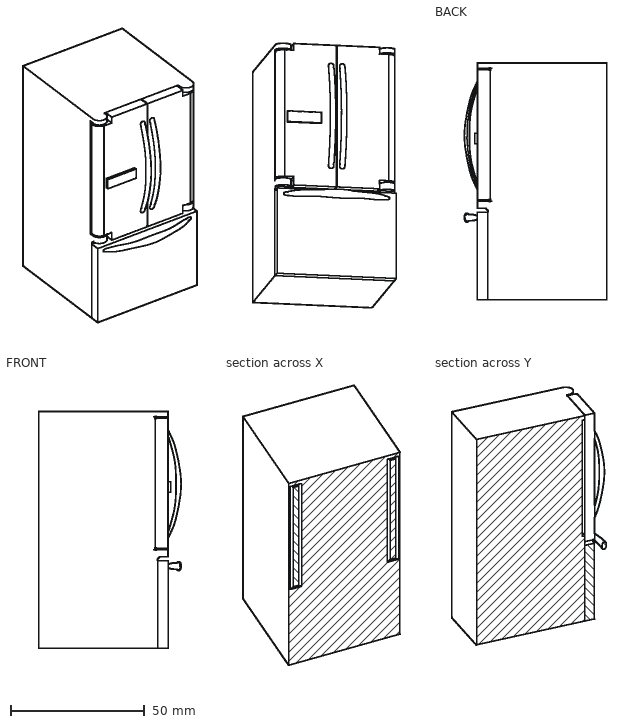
import cadquery as cq
import math


width = 45.4
height = 88.6
front_x = 48.45
panel_thickness = 4.0
panel_back_x = front_x - panel_thickness

knuckle_radius = 2.9
hinge_setback = 3.1
pin_diameter = 2.6
hinge_x = front_x - hinge_setback
hinge_y = width / 2 - knuckle_radius
top_ear_thickness = 1.95
bottom_ear_thickness = 2.7
hinge_end_gap = 0.6
relief_clearance = 0.5
relief_radius = knuckle_radius + relief_clearance
gusset_size = hinge_x - panel_back_x

door_bottom_z = 34.2
door_height = height - door_bottom_z
door_mid_z = door_bottom_z + door_height / 2
ear_inner_bottom_z = door_bottom_z + bottom_ear_thickness
ear_inner_top_z = height - top_ear_thickness
hinge_opening = ear_inner_top_z - ear_inner_bottom_z
barrel_length = hinge_opening - 2 * hinge_end_gap
door_outer_y = 16.3
door_seam_gap = 0.3
recess_depth = 1.1

drawer_height = 32.8

handle_diameter = 2.0
handle_root_thickness = 1.2
handle_projection = 4.9
handle_bow_radius = 49.6
handle_root_depth = 1.1
door_handle_y = 2.1
drawer_handle_z = 30.7
drawer_handle_crown_height = 3.4
handle_section_count = 9

display_thickness = 1.0
display_width = 12.8
display_height = 4.1
display_y = -12.3
display_z = 60.3


def block(x_min, x_max, y_min, y_max, z_min, z_max):
    """Box given by its limits along each axis."""
    size = (x_max - x_min, y_max - y_min, z_max - z_min)
    return cq.Workplane("XY").box(*size, centered=False).translate((x_min, y_min, z_min))


def hinge_cylinder(side, radius, z_min, length):
    """Vertical cylinder on the hinge axis of one side (-1 or +1)."""
    return cq.Workplane("XY", origin=(hinge_x, side * hinge_y, z_min)).circle(radius).extrude(length)


def hinge_ear(side, z_min, thickness):
    """Flat cabinet ear with a full round nose."""
    root = block(panel_back_x, hinge_x, -knuckle_radius, knuckle_radius, z_min, z_min + thickness)
    root = root.translate((0, side * hinge_y, 0))
    return root.union(hinge_cylinder(side, knuckle_radius, z_min, thickness))


def ear_gusset(side):
    """Sloped support under a lower ear."""
    return (
        cq.Workplane("XZ", origin=(panel_back_x, side * hinge_y, door_bottom_z))
        .polyline([(0, 0), (gusset_size, 0), (0, -gusset_size)])
        .close()
        .extrude(knuckle_radius, both=True)
    )


def make_cabinet():
    cabinet = block(0, panel_back_x, -width / 2, width / 2, 0, height)
    recess_back_x = panel_back_x - recess_depth
    recess = block(recess_back_x, panel_back_x, -hinge_y, hinge_y, ear_inner_bottom_z, ear_inner_top_z)
    cabinet = cabinet.cut(recess)
    for side in (-1, 1):
        cabinet = cabinet.cut(hinge_cylinder(side, relief_radius, ear_inner_bottom_z, hinge_opening))
        cabinet = cabinet.union(hinge_ear(side, door_bottom_z, bottom_ear_thickness))
        cabinet = cabinet.union(hinge_ear(side, ear_inner_top_z, top_ear_thickness))
        cabinet = cabinet.union(ear_gusset(side))
    return cabinet


def bow_handle(crown_height):
    """Bow handle in the XY plane, centred on Y = 0, with its section height growing to the crown."""
    crown_x = front_x + handle_projection - handle_diameter / 2
    root_x = front_x - handle_root_depth
    sagitta = crown_x - root_x
    half_span = math.sqrt(sagitta * (2 * handle_bow_radius - sagitta))
    root_angle = math.degrees(math.asin(half_span / handle_bow_radius))
    bow_centre_x = crown_x - handle_bow_radius

    def section(angle):
        turn = math.radians(angle)
        outward = cq.Vector(math.cos(turn), math.sin(turn), 0)
        along = cq.Vector(-math.sin(turn), math.cos(turn), 0)
        plane = cq.Plane(
            origin=cq.Vector(bow_centre_x, 0, 0) + outward * handle_bow_radius,
            xDir=outward,
            normal=along,
        )
        growth = (1 - abs(angle) / root_angle) ** 2
        thickness = handle_root_thickness + (handle_diameter - handle_root_thickness) * growth
        section_height = handle_diameter + (crown_height - handle_diameter) * growth
        return cq.Workplane(plane).ellipse(thickness / 2, section_height / 2).wires().val()

    angle_step = 2 * root_angle / (handle_section_count - 1)
    sections = [section(i * angle_step - root_angle) for i in range(handle_section_count)]
    return cq.Workplane(cq.Solid.makeLoft(sections))


def make_door(side):
    panel = block(panel_back_x, front_x, door_seam_gap / 2, door_outer_y, door_bottom_z, height)
    barrel_z = ear_inner_bottom_z + hinge_end_gap
    web = block(panel_back_x, front_x, door_outer_y, hinge_y, barrel_z, barrel_z + barrel_length)
    door = panel.union(web)
    if side < 0:
        door = door.mirror("XZ")
    door = door.union(hinge_cylinder(side, knuckle_radius, barrel_z, barrel_length))
    door = door.union(hinge_cylinder(side, pin_diameter / 2, ear_inner_bottom_z, hinge_opening))
    handle = bow_handle(handle_diameter).rotate((0, 0, 0), (1, 0, 0), 90)
    return door.union(handle.translate((0, side * door_handle_y, door_mid_z)))


def add_display(door):
    plate = (
        cq.Workplane("YZ", origin=(front_x, display_y, display_z))
        .rect(display_width, display_height)
        .extrude(display_thickness)
    )
    return door.union(plate)


def make_drawer_front():
    panel = block(panel_back_x, front_x, -width / 2, width / 2, 0, drawer_height)
    return panel.union(bow_handle(drawer_handle_crown_height).translate((0, 0, drawer_handle_z)))


cabinet = make_cabinet()
display_door = add_display(make_door(-1))
plain_door = make_door(1)
drawer_front = make_drawer_front()

result = cq.Compound.makeCompound([cabinet.val(), display_door.val(), plain_door.val(), drawer_front.val()])